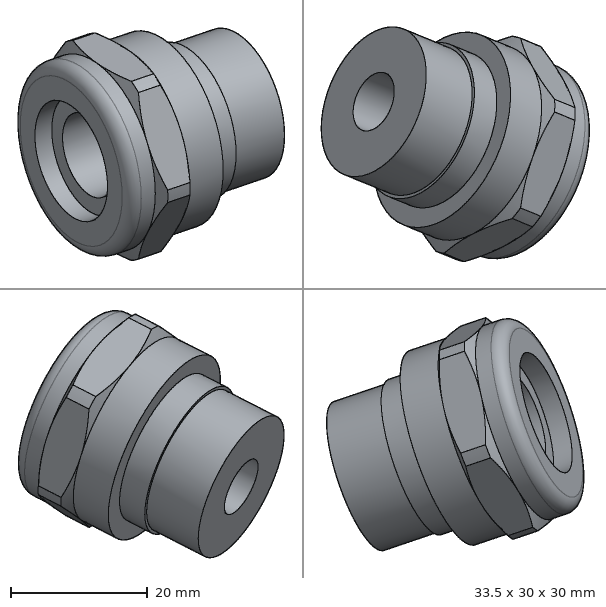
import cadquery as cq
import math


length = 30.0
body_radius = 15.0
body_fillet = 2.0
body_end = 16.6
neck_radius = 12.0
neck_end = 21.0
tail_radius = 11.5

hex_sides = 6
across_flats = 2 * body_radius
corner_diameter = 33.5
hex_start = 4.5
hex_end = 10.5
hex_chamfer_angle = 30.0

recess_radius = 9.25
recess_depth = 3.0
bore_radius = 6.5
bore_end = body_end
through_radius = 4.5


def cross_section(station):
    """Workplane square to the Y axis, facing the tail."""
    return cq.Workplane(cq.Plane(origin=(0, station, 0), xDir=(1, 0, 0), normal=(0, 1, 0)))


def disc(radius, start, end):
    """Cylinder on the Y axis between two stations."""
    return cross_section(start).circle(radius).extrude(end - start)


def make_body():
    """Stepped outside, with the front rim of the large body rounded."""
    body = disc(body_radius, 0, body_end).faces("<Y").edges().fillet(body_fillet)
    neck = disc(neck_radius, body_end, neck_end)
    tail = disc(tail_radius, neck_end, length)
    return body.union(neck).union(tail)


def make_hexagon():
    """Hexagon with corners turned round and chamfered at both ends."""
    sharp_diameter = across_flats / math.cos(math.pi / hex_sides)
    prism = cross_section(hex_start).polygon(hex_sides, sharp_diameter).extrude(hex_end - hex_start)

    corner_radius = corner_diameter / 2
    flat_radius = across_flats / 2
    chamfer_length = (corner_radius - flat_radius) * math.tan(math.radians(hex_chamfer_angle))
    envelope = (
        cq.Workplane("XY")
        .moveTo(0, hex_start)
        .lineTo(flat_radius, hex_start)
        .lineTo(corner_radius, hex_start + chamfer_length)
        .lineTo(corner_radius, hex_end - chamfer_length)
        .lineTo(flat_radius, hex_end)
        .lineTo(0, hex_end)
        .close()
        .revolve(360, (0, 0, 0), (0, 1, 0))
    )
    return prism.intersect(envelope)


def cut_openings(solid):
    """Front recess, main bore and the narrower hole through the tail."""
    recess = disc(recess_radius, 0, recess_depth)
    bore = disc(bore_radius, recess_depth, bore_end)
    through_hole = disc(through_radius, bore_end, length)
    return solid.cut(recess).cut(bore).cut(through_hole)


result = cut_openings(make_body().union(make_hexagon()))